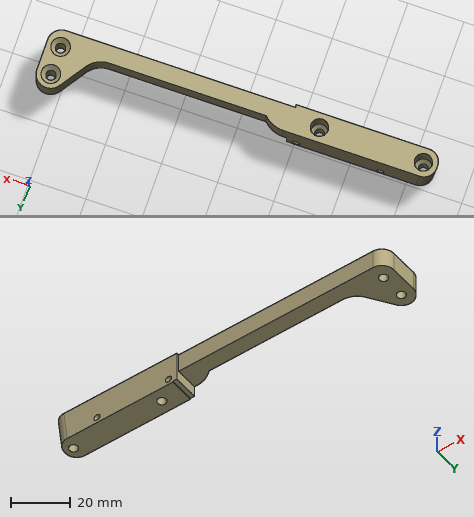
import cadquery as cq
import math

block_length = 52.0
block_width = 10.0
block_height = 13.0
end_lean = 1.4
end_corner_radius = 4.6
underside_step_height = 0.4
underside_step_length = 1.7

total_length = 138.5
total_width = 22.0
arm_thickness = 8.0
arm_front = 1.0
arm_width = 6.0
arm_back = arm_front + arm_width
arm_start = 42.0
shoulder_end = 60.3
shoulder_radius = 10.0
head_radius = 5.0
front_corner_radius = 5.0
head_flank_angle = math.radians(56)
head_root_radius = 8.5

screw_diameter = 3.4
block_recess_diameter = 6.1
block_recess_depth = 7.0
arm_recess_diameter = 6.6
arm_recess_depth = 0.0
block_screws = [(5.0, block_width / 2), (arm_start, block_width / 2)]
head_screw_x = total_length - head_radius
head_screw_back_y = total_width - head_radius
head_screw_pitch = 10.0
head_screws = [
    (head_screw_x, head_screw_back_y),
    (head_screw_x, head_screw_back_y - head_screw_pitch),
]

cross_diameter = 2.52
cross_height = 2.5
cross_positions = [18.5, 48.5]


def make_block():
    """Side profile with a leaning free end, rounded in plan along its two end edges."""
    step_start = block_length - underside_step_length
    profile = [
        (0, block_height),
        (block_length, block_height),
        (block_length, underside_step_height),
        (step_start, underside_step_height),
        (step_start, 0),
        (end_lean, 0),
    ]
    block = cq.Workplane("XZ").polyline(profile).close().extrude(-block_width)
    end_edges = block.faces("<X").edges("not |Y")
    return end_edges.fillet(end_corner_radius)


def make_arm():
    """Slim arm with a rounded shoulder at the block and a two-screw head at the far end."""
    sin_flank = math.sin(head_flank_angle)
    cos_flank = math.cos(head_flank_angle)

    flank_top_x = head_screw_x - head_radius * sin_flank
    flank_top_y = head_screw_back_y + head_radius * cos_flank
    flank_foot_x = flank_top_x - (flank_top_y - arm_back) / math.tan(head_flank_angle)
    root_setback = head_root_radius * math.tan(head_flank_angle / 2)
    root_start = (flank_foot_x - root_setback, arm_back)
    root_end = (flank_foot_x + root_setback * cos_flank, arm_back + root_setback * sin_flank)

    outline = (
        cq.Workplane("XY")
        .workplane(offset=block_height - arm_thickness)
        .moveTo(arm_start, arm_front)
        .lineTo(total_length - front_corner_radius, arm_front)
        .tangentArcPoint((total_length, arm_front + front_corner_radius), relative=False)
        .lineTo(total_length, head_screw_back_y)
        .tangentArcPoint((flank_top_x, flank_top_y), relative=False)
        .lineTo(*root_end)
        .tangentArcPoint(root_start, relative=False)
        .lineTo(shoulder_end, arm_back)
    )

    shoulder_sweep = math.acos(1 - (block_width - arm_back) / shoulder_radius)
    shoulder_start = shoulder_end - shoulder_radius * math.sin(shoulder_sweep)
    half_sweep = shoulder_sweep / 2
    shoulder_middle = (
        shoulder_start + shoulder_radius * math.sin(half_sweep),
        block_width - shoulder_radius * (1 - math.cos(half_sweep)),
    )
    outline = (
        outline.threePointArc(shoulder_middle, (shoulder_start, block_width))
        .lineTo(arm_start, block_width)
        .close()
    )
    return outline.extrude(arm_thickness)


def screw_hole_tool(position, head_diameter, recess_depth):
    """Through hole with a 45 degree countersink lying recess_depth below the top."""
    x, y = position
    outer = head_diameter / 2
    inner = screw_diameter / 2
    recess_floor = block_height - recess_depth
    cone_depth = outer - inner
    half_section = [
        (0, 0),
        (inner, 0),
        (inner, recess_floor - cone_depth),
        (outer, recess_floor),
        (0, recess_floor),
    ]
    bore = cq.Workplane("XZ").polyline(half_section).close().revolve(360, (0, 0), (0, 1))
    if recess_depth > 0:
        recess = cq.Workplane("XY", origin=(0, 0, recess_floor)).circle(outer).extrude(recess_depth)
        bore = bore.union(recess)
    return bore.translate((x, y, 0))


def cross_hole_tool(x):
    """Plain hole across the full width of the block."""
    return (
        cq.Workplane("XZ")
        .center(x, cross_height)
        .circle(cross_diameter / 2)
        .extrude(-block_width)
    )


result = make_block().union(make_arm())
for screw in block_screws:
    result = result.cut(screw_hole_tool(screw, block_recess_diameter, block_recess_depth))
for screw in head_screws:
    result = result.cut(screw_hole_tool(screw, arm_recess_diameter, arm_recess_depth))
for cross_x in cross_positions:
    result = result.cut(cross_hole_tool(cross_x))